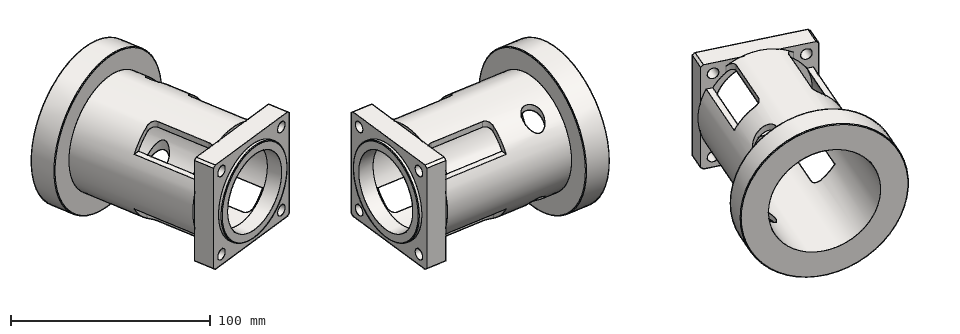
import cadquery as cq

total_length = 106.5
flange_thickness = 15.0
plate_thickness = 11.9
pilot_length = 2.0
plate_end = total_length - pilot_length
plate_start = plate_end - plate_thickness

flange_diameter = 90.0
tube_diameter = 66.0
bore_diameter = 60.0
pilot_diameter = 55.0
through_diameter = 45.0
bore_depth_in_plate = 5.0
flange_chamfer = 0.4
pilot_chamfer = 0.4

plate_width = 63.3
plate_height = 62.6
plate_chamfer_y = 1.5
plate_chamfer_z = 1.2
screw_hole_diameter = 6.2
screw_spacing = 50.0

window_length = 39.9
window_inner_y = 14.1
window_inner_z = 16.4
window_corner_radius = 3.9

cross_hole_diameter = 12.0
cross_hole_x = 2 * flange_thickness
cross_hole_y = 20.8


def cylinder(diameter, start, end):
    """Solid cylinder on the X axis between two stations."""
    return cq.Workplane("YZ", origin=(start, 0, 0)).circle(diameter / 2).extrude(end - start)


def make_plate():
    """Rectangular plate with its four long corners bevelled and screw holes."""
    half_y = plate_width / 2
    half_z = plate_height / 2
    flat_y = half_y - plate_chamfer_y
    flat_z = half_z - plate_chamfer_z
    outline = [
        (-flat_y, -half_z), (flat_y, -half_z),
        (half_y, -flat_z), (half_y, flat_z),
        (flat_y, half_z), (-flat_y, half_z),
        (-half_y, flat_z), (-half_y, -flat_z),
    ]
    plane = cq.Workplane("YZ", origin=(plate_start, 0, 0))
    plate = plane.polyline(outline).close().extrude(plate_thickness)
    holes = (
        plane.rect(screw_spacing, screw_spacing, forConstruction=True).vertices()
        .circle(screw_hole_diameter / 2).extrude(plate_thickness)
    )
    return plate.cut(holes)


def make_window(side_y, side_z):
    """Cutter for one quadrant, rounded only where it meets its inner Y wall."""
    reach = tube_diameter / 2
    width = reach - window_inner_y
    height = reach - window_inner_z
    cutter = cq.Workplane("XY").box(window_length, width, height, centered=(False, True, True))
    inner_edges = "|Z and <Y" if side_y > 0 else "|Z and >Y"
    cutter = cutter.edges(inner_edges).fillet(window_corner_radius)
    return cutter.translate((
        plate_start - window_length,
        side_y * (window_inner_y + width / 2),
        side_z * (window_inner_z + height / 2),
    ))


flange = cylinder(flange_diameter, 0, flange_thickness).edges().chamfer(flange_chamfer)
tube = cylinder(tube_diameter, 0, plate_start)
pilot = cylinder(pilot_diameter, plate_start, total_length).faces(">X").edges().chamfer(pilot_chamfer)
body = flange.union(tube).union(make_plate()).union(pilot)

bore_end = plate_start + bore_depth_in_plate
body = body.cut(cylinder(bore_diameter, 0, bore_end))
body = body.cut(cylinder(through_diameter, bore_end, total_length))

for side_y in (-1, 1):
    for side_z in (-1, 1):
        body = body.cut(make_window(side_y, side_z))

cross_hole = (
    cq.Workplane("XY", origin=(cross_hole_x, cross_hole_y, -tube_diameter / 2))
    .circle(cross_hole_diameter / 2).extrude(tube_diameter)
)
result = body.cut(cross_hole)